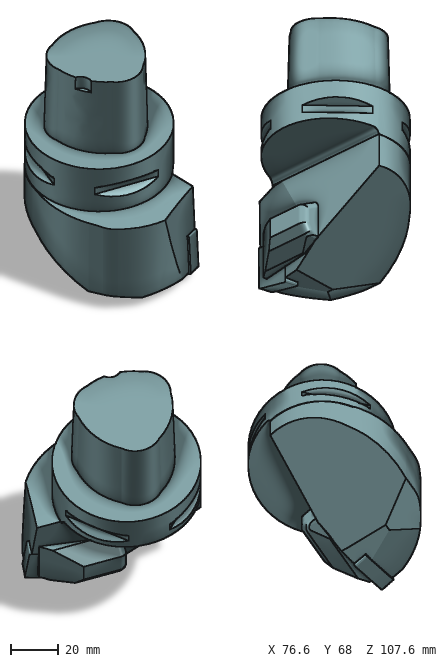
import cadquery as cq
import math

BIG = 215.3

SHANK_HEIGHT = 37.9
LOBE_COUNT = 3
LOBE_PITCH = 360 / LOBE_COUNT
FIRST_LOBE_ANGLE = 90.0
LOBE_RADIUS = 23.5
FLANK_RADIUS = 20.3
JOINT_RADIUS = 21.5
JOINT_ANGLE = 24.2
SHANK_SHRINK = SHANK_HEIGHT / 40
NOTCH_DIAMETER = 10.1
NOTCH_DEPTH = 6.1
NOTCH_CENTER_Y = -22.8

FLANGE_RADIUS = 63.0 / 2
FLANGE_HEIGHT = 22.9
SLOT_COUNT = 4
SLOT_Z = -12.0
SLOT_FLOOR_RADIUS = 27.8
SLOT_FLOOR_HEIGHT = 3.4
SLOT_MOUTH_HEIGHT = 7.6

HEAD_RADIUS = 31.6
HEAD_BOTTOM = -67.8
HEAD_FRONT_Y = -36.5
HEAD_BACK_Y = 6.1
ROUND_END_X = -21.4
FRONT_ARC_START = (-19.0, -25.3)
FRONT_ARC_MIDDLE = (-6.4, -33.5)
FRONT_FLAT_LEFT = 8.9
FRONT_FLAT_RIGHT = 15.3
CORNER_ARC_MIDDLE = (18.6, -36.1)
RIGHT_ARC_START = (21.5, -35.0)
RIGHT_ARC_MIDDLE = (33.0, -27.1)
RIGHT_ARC_END = (44.7, 0.8)
NOSE_POINT = (42.2, -13.1, -63.2)
NOSE_NORMAL = (0.28, -0.15, -1)
END_POINT = (41.0, 3.5, -25.5)
END_NORMAL = (1, -0.13, 0.09)
SHOULDER_ANGLE = 15.0
UNDERSIDE_ANGLE = 30.0
UNDERSIDE_LEFT_Z = -38.2
FRONT_BEVEL_ANGLE = 20.0
FRONT_BEVEL_Z = -61.5
RELIEF_EDGE_Z = -18.0
RELIEF_ANGLE = 5.0
RELIEF_FILLET = 3.2

RAKE_Y = 12.2
RAKE_X_SLOPE = -0.16
RAKE_Z_SLOPE = 0.086

CLAMP_LEFT = 4.2
CLAMP_RIGHT = 39.7
CLAMP_TOP = -41.0
CLAMP_BOTTOM = -62.9
CLAMP_BACK_Y = 14.9
CLAMP_BACK_TOP = -46.0
CLAMP_BACK_BOTTOM = -55.2
CLAMP_BEVEL_CORNER = (12.4, -59.6)
CLAMP_ROOT_TOP = -37.6
CLAMP_ROOT_BOTTOM = -65.3
CLAMP_BOTTOM_LEFT = 14.0
CLAMP_TOE = (5.4, -59.8)
CLAMP_TOE_TOP = -59.1
CLAMP_EDGE_RADIUS = 3.2
CLAMP_NOSE_SLOPE = 0.8

INSERT_TIP = (45.1, -65.0)
INSERT_HEEL = (27.4, -70.0)
INSERT_UPPER = (43.6, -46.2)
INSERT_THICKNESS = 6.7
INSERT_CORNER_RADIUS = 0.9


def half_space(origin, normal):
    """Large block lying on the side of a plane that the normal points to."""
    plane = cq.Plane(origin=origin, normal=normal)
    return cq.Workplane(plane).rect(BIG, BIG).extrude(BIG)


def slope(angle):
    return math.tan(math.radians(angle))


def polar_point(radius, angle):
    return (radius * math.cos(math.radians(angle)), radius * math.sin(math.radians(angle)))


def add_lobed_outline(workplane, inset):
    """Closed outline of three lobe arcs and three flatter flank arcs, moved inwards by inset."""
    joint_radius = JOINT_RADIUS - inset
    outline = workplane.moveTo(*polar_point(joint_radius, FIRST_LOBE_ANGLE - JOINT_ANGLE))
    for i in range(LOBE_COUNT):
        lobe_angle = FIRST_LOBE_ANGLE + i * LOBE_PITCH
        outline = outline.threePointArc(
            polar_point(LOBE_RADIUS - inset, lobe_angle),
            polar_point(joint_radius, lobe_angle + JOINT_ANGLE),
        ).threePointArc(
            polar_point(FLANK_RADIUS - inset, lobe_angle + LOBE_PITCH / 2),
            polar_point(joint_radius, lobe_angle + LOBE_PITCH - JOINT_ANGLE),
        )
    return outline.close()


def make_shank():
    base = add_lobed_outline(cq.Workplane("XY"), 0)
    top_plane = base.workplane(offset=SHANK_HEIGHT, origin=(0, 0, 0))
    shank = add_lobed_outline(top_plane, SHANK_SHRINK).loft(ruled=True)
    notch = (
        cq.Workplane("XY", origin=(0, NOTCH_CENTER_Y, SHANK_HEIGHT))
        .circle(NOTCH_DIAMETER / 2)
        .extrude(-NOTCH_DEPTH)
    )
    return shank.cut(notch)


def make_flange():
    flange = cq.Workplane("XY").circle(FLANGE_RADIUS).extrude(-FLANGE_HEIGHT)
    outer_radius = 2 * FLANGE_RADIUS - SLOT_FLOOR_RADIUS
    outer_height = 2 * SLOT_MOUTH_HEIGHT - SLOT_FLOOR_HEIGHT
    slot = (
        cq.Workplane("XZ")
        .moveTo(SLOT_FLOOR_RADIUS, SLOT_Z - SLOT_FLOOR_HEIGHT / 2)
        .lineTo(outer_radius, SLOT_Z - outer_height / 2)
        .lineTo(outer_radius, SLOT_Z + outer_height / 2)
        .lineTo(SLOT_FLOOR_RADIUS, SLOT_Z + SLOT_FLOOR_HEIGHT / 2)
        .close()
        .extrude(FLANGE_RADIUS, both=True)
    )
    for i in range(SLOT_COUNT):
        angle = (i + 0.5) * 360 / SLOT_COUNT
        flange = flange.cut(slot.rotate((0, 0, 0), (0, 0, 1), angle))
    return flange


def make_back_relief():
    """Space behind the head, below the rising underside of the flange."""
    inner_z = RELIEF_EDGE_Z - (FLANGE_RADIUS - HEAD_BACK_Y) * slope(RELIEF_ANGLE)
    outer_z = RELIEF_EDGE_Z + (BIG - FLANGE_RADIUS) * slope(RELIEF_ANGLE)
    return (
        cq.Workplane("YZ")
        .moveTo(HEAD_BACK_Y, -BIG)
        .lineTo(HEAD_BACK_Y, inner_z)
        .lineTo(BIG, outer_z)
        .lineTo(BIG, -BIG)
        .close()
        .extrude(BIG, both=True)
        .edges(cq.selectors.NearestToPointSelector((0, HEAD_BACK_Y, inner_z)))
        .fillet(RELIEF_FILLET)
    )


def underside_space():
    """Space below the sloped underside of the head."""
    return half_space((-HEAD_RADIUS, 0, UNDERSIDE_LEFT_Z), (-slope(UNDERSIDE_ANGLE), 0, -1))


def make_head():
    left_x = -math.sqrt(HEAD_RADIUS**2 - HEAD_BACK_Y**2)
    round_end_y = -math.sqrt(HEAD_RADIUS**2 - ROUND_END_X**2)
    head = (
        cq.Workplane("XY", origin=(0, 0, HEAD_BOTTOM))
        .moveTo(left_x, HEAD_BACK_Y)
        .threePointArc((-HEAD_RADIUS, 0), (ROUND_END_X, round_end_y))
        .lineTo(*FRONT_ARC_START)
        .threePointArc(FRONT_ARC_MIDDLE, (FRONT_FLAT_LEFT, HEAD_FRONT_Y))
        .lineTo(FRONT_FLAT_RIGHT, HEAD_FRONT_Y)
        .threePointArc(CORNER_ARC_MIDDLE, RIGHT_ARC_START)
        .threePointArc(RIGHT_ARC_MIDDLE, RIGHT_ARC_END)
        .lineTo(RIGHT_ARC_END[0], HEAD_BACK_Y)
        .close()
        .extrude(-FLANGE_HEIGHT - HEAD_BOTTOM)
    )

    cone_radius = 2 * FLANGE_RADIUS
    cone_drop = (cone_radius - FLANGE_RADIUS) * slope(SHOULDER_ANGLE)
    shoulder = (
        cq.Workplane("XZ")
        .moveTo(FLANGE_RADIUS, -FLANGE_HEIGHT)
        .lineTo(cone_radius, -FLANGE_HEIGHT - cone_drop)
        .lineTo(cone_radius, 0)
        .lineTo(FLANGE_RADIUS, 0)
        .close()
        .revolve(360, (0, 0, 0), (0, 1, 0))
    )
    head = head.cut(shoulder)

    head = head.cut(underside_space())
    head = head.cut(half_space((0, HEAD_FRONT_Y, FRONT_BEVEL_Z), (0, -slope(FRONT_BEVEL_ANGLE), -1)))
    head = head.cut(half_space(NOSE_POINT, NOSE_NORMAL))
    head = head.cut(half_space(END_POINT, END_NORMAL))
    return head.cut(half_space((0, RAKE_Y, 0), (-RAKE_X_SLOPE, 1, -RAKE_Z_SLOPE)))


def make_clamp():
    profile = (
        cq.Workplane("YZ", origin=(CLAMP_LEFT, 0, 0))
        .moveTo(0, CLAMP_ROOT_TOP)
        .lineTo(CLAMP_BACK_Y, CLAMP_BACK_TOP)
        .lineTo(CLAMP_BACK_Y, CLAMP_BACK_BOTTOM)
        .lineTo(*CLAMP_BEVEL_CORNER)
        .lineTo(0, CLAMP_ROOT_BOTTOM)
        .close()
        .extrude(CLAMP_RIGHT - CLAMP_LEFT)
    )
    outline = (
        cq.Workplane("XZ")
        .moveTo(CLAMP_LEFT, CLAMP_TOP)
        .lineTo(CLAMP_RIGHT, CLAMP_TOP)
        .lineTo(CLAMP_RIGHT, CLAMP_BOTTOM)
        .lineTo(CLAMP_BOTTOM_LEFT, CLAMP_BOTTOM)
        .lineTo(*CLAMP_TOE)
        .lineTo(CLAMP_LEFT, CLAMP_TOE_TOP)
        .close()
        .extrude(BIG, both=True)
    )
    nose = half_space((CLAMP_RIGHT, rake_point(CLAMP_RIGHT, CLAMP_TOP).y, 0), (CLAMP_NOSE_SLOPE, 1, 0))
    rounded = profile.faces("<X").edges("not <Y").fillet(CLAMP_EDGE_RADIUS)
    below_head = underside_space().intersect(half_space((0, HEAD_BACK_Y, 0), (0, -1, 0)))
    return rounded.intersect(outline).cut(nose).cut(below_head)


def rake_point(x, z):
    return cq.Vector(x, RAKE_Y + RAKE_X_SLOPE * x + RAKE_Z_SLOPE * z, z)


def make_insert():
    far_corner = (
        INSERT_HEEL[0] + INSERT_UPPER[0] - INSERT_TIP[0],
        INSERT_HEEL[1] + INSERT_UPPER[1] - INSERT_TIP[1],
    )
    corners = [rake_point(x, z) for x, z in (INSERT_TIP, INSERT_HEEL, far_corner, INSERT_UPPER)]
    inward = cq.Vector(RAKE_X_SLOPE, -1, RAKE_Z_SLOPE).normalized() * INSERT_THICKNESS
    outline = cq.Wire.makePolygon(corners, close=True)
    plate = cq.Solid.extrudeLinear(outline, [], inward)
    corner_edges = cq.selectors.ParallelDirSelector(inward)
    return cq.Workplane(plate).edges(corner_edges).fillet(INSERT_CORNER_RADIUS)


insert = make_insert()

holder = make_flange().cut(make_back_relief())
holder = holder.union(make_shank()).union(make_head()).union(make_clamp()).cut(insert)

result = cq.Compound.makeCompound([*holder.solids().vals(), insert.val()])